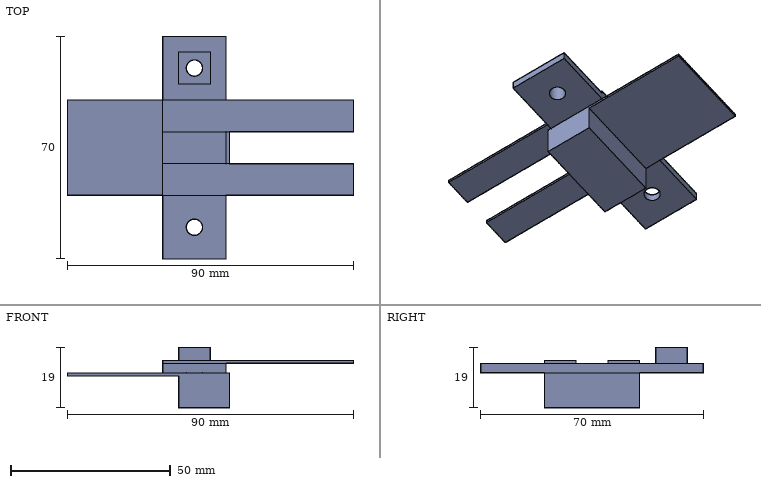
import cadquery as cq

total_length = 90.0
plate_width = 20.0
plate_length = 70.0
plate_thickness = 3.0
sheet_thickness = 1.0
finger_length = 60.0
finger_width = 10.0
body_width = 30.0
block_length = 16.0
block_height = 11.0
block_start = 35.0
boss_size = 10.0
boss_height = 5.0
hole_diameter = 5.0
hole_spacing = 50.0

plate_start = total_length - finger_length
plate_center = plate_start + plate_width / 2
plate_bottom = block_height
plate_top = plate_bottom + plate_thickness
finger_offset = (body_width - finger_width) / 2
hole_offset = hole_spacing / 2


def slab(start_x, center_y, bottom_z, length, width, height):
    """Box given by its rear face, its middle in Y and its bottom face."""
    return (
        cq.Workplane("XY")
        .box(length, width, height, centered=(False, True, False))
        .translate((start_x, center_y, bottom_z))
    )


block = slab(block_start, 0, 0, block_length, body_width, block_height)
sheet_bottom = block_height - sheet_thickness
sheet = slab(0, 0, sheet_bottom, block_start, body_width, sheet_thickness)

plate = slab(plate_start, 0, plate_bottom, plate_width, plate_length, plate_thickness)
boss_start = plate_center - boss_size / 2
boss = slab(boss_start, hole_offset, plate_top, boss_size, boss_size, boss_height)

result = block.union(sheet).union(plate).union(boss)

for side in (-1, 1):
    finger = slab(
        plate_start, side * finger_offset, plate_top, finger_length, finger_width, sheet_thickness
    )
    result = result.union(finger)

holes = (
    cq.Workplane("XY", origin=(plate_center, 0, plate_bottom))
    .pushPoints([(0, -hole_offset), (0, hole_offset)])
    .circle(hole_diameter / 2)
    .extrude(plate_thickness + boss_height)
)
result = result.cut(holes)